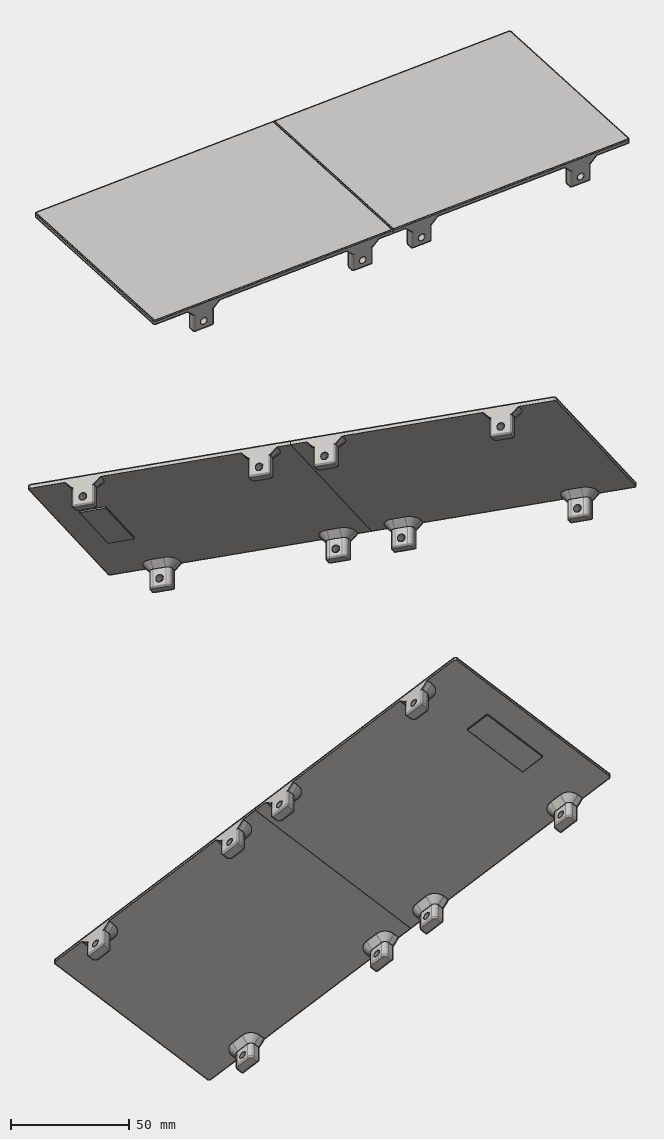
import cadquery as cq

total_length = 240.0
width = 93.0
total_height = 14.0

plate_thickness = 2.0
seam_y = 0.5
corner_radius = 1.0
top_bevel = 0.4
plate_bottom = total_height - plate_thickness

tab_length = 10.0
tab_thickness = 5.0
tab_inner_radius = 2.2
tab_outer_radius = 0.6
tab_bottom_radius = 0.7
flare_height = 3.0
flare_angle = 45.0
hole_diameter = 3.4
hole_height = 4.0
outer_tab_y = 95.0
inner_tab_y = 15.0

pad_left = -17.8
pad_right = 15.4
pad_front = 96.0
pad_back = 108.0
pad_thickness = 0.7


def make_plate(y_start, y_end, outer_end):
    """Flat plate with its outer corners rounded and its top edges bevelled."""
    plate = cq.Workplane("XY").box(width, y_end - y_start, plate_thickness, centered=(True, False, False))
    plate = plate.translate((0, y_start, plate_bottom))
    plate = plate.faces(outer_end).edges("|Z").fillet(corner_radius)
    return plate.faces(">Z").edges().chamfer(top_bevel)


def make_tab_section(height):
    """Tab block standing on Z = 0 with its outer face on X = 0, edges along Z rounded."""
    block = cq.Workplane("XY").box(tab_thickness, tab_length, height, centered=(False, True, False))
    block = block.edges(">X and |Z").fillet(tab_inner_radius)
    return block.edges("<X and |Z").fillet(tab_outer_radius)


def make_tab():
    """Left-hand drilled tab: stem with rounded edges that flares out to meet the plate."""
    stem = make_tab_section(plate_bottom - flare_height)
    flare = stem.faces(">Z").wires().toPending().extrude(flare_height, taper=-flare_angle, combine=False)
    inside = cq.Workplane("XY").box(width, width, total_height, centered=(False, True, False))
    stem = stem.faces("<Z").edges().fillet(tab_bottom_radius)
    tab = stem.union(flare.intersect(inside))
    hole = cq.Workplane("YZ").center(0, hole_height).circle(hole_diameter / 2).extrude(tab_thickness)
    return tab.cut(hole).translate((-width / 2, 0, 0))


def make_panel(y_start, y_end, outer_end, tab_positions):
    """Plate with a mirrored pair of tabs at each tab position."""
    panel = make_plate(y_start, y_end, outer_end)
    left_tab = make_tab()
    right_tab = left_tab.mirror("YZ")
    for y_center in tab_positions:
        for tab in (left_tab, right_tab):
            panel = panel.union(tab.translate((0, y_center, 0)))
    return panel


front_panel = make_panel(-total_length / 2, seam_y, "<Y", (-outer_tab_y, -inner_tab_y))
rear_panel = make_panel(seam_y, total_length / 2, ">Y", (inner_tab_y, outer_tab_y))

pad = cq.Workplane("XY").box(
    pad_right - pad_left,
    pad_back - pad_front,
    pad_thickness,
    centered=False,
)
pad = pad.translate((pad_left, pad_front, plate_bottom - pad_thickness))
rear_panel = rear_panel.union(pad)

result = cq.Compound.makeCompound([front_panel.val(), rear_panel.val()])